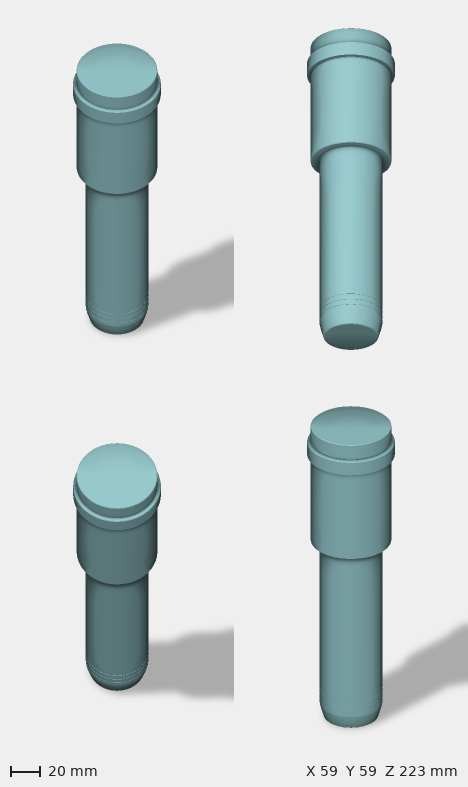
import cadquery as cq

total_height = 223.0
pin_diameter = 42.1
sleeve_diameter = 54.5
sleeve_bottom = 135.0
root_fillet = 0.7
edge_chamfer = 0.5

ring_diameter = 59.0
ring_height = 10.0
ring_bottom = 201.1
clearance_below = 0.7
clearance_above = 0.5
seat_depth = edge_chamfer

foot_diameter = 36.5
foot_height = 10.0
foot_bulge = 0.2

groove_count = 3
groove_pitch = 4.0
groove_width = 0.7
groove_depth = 0.2
lowest_groove_z = 13.4


def disc(diameter, bottom, height):
    """Upright cylinder on the part axis."""
    return cq.Workplane("XY").workplane(offset=bottom).circle(diameter / 2).extrude(height)


def groove_cutter(z_centre):
    """Cutter for one fine groove around the pin."""
    bottom = z_centre - groove_width / 2
    outside = disc(pin_diameter + 2 * groove_depth, bottom, groove_width)
    return outside.cut(disc(pin_diameter - 2 * groove_depth, bottom, groove_width))


def tapered_pin():
    """Pin with its curved foot, revolved from half of its outline."""
    pin_radius = pin_diameter / 2
    foot_radius = foot_diameter / 2
    bulge_point = ((pin_radius + foot_radius) / 2 + foot_bulge, foot_height / 2)
    pin = (
        cq.Workplane("XZ")
        .lineTo(foot_radius, 0)
        .threePointArc(bulge_point, (pin_radius, foot_height))
        .lineTo(pin_radius, sleeve_bottom)
        .lineTo(0, sleeve_bottom)
        .close()
        .revolve(360, (0, 0), (0, 1))
        .faces("<Z")
        .chamfer(edge_chamfer)
    )
    for index in range(groove_count):
        pin = pin.cut(groove_cutter(lowest_groove_z + index * groove_pitch))
    return pin


def sleeve_with_ring():
    """Chamfered sleeve below and above the ring, joined by the seat that carries the ring."""
    ring_top = ring_bottom + ring_height
    seat_bottom = ring_bottom - clearance_below
    seat_top = ring_top + clearance_above
    lower_sleeve = disc(sleeve_diameter, sleeve_bottom, seat_bottom - sleeve_bottom)
    upper_sleeve = disc(sleeve_diameter, seat_top, total_height - seat_top)
    seat = disc(sleeve_diameter - 2 * seat_depth, seat_bottom, seat_top - seat_bottom)
    ring = disc(ring_diameter, ring_bottom, ring_height).faces(">Z").chamfer(edge_chamfer)
    return (
        lower_sleeve.faces("<Z or >Z").chamfer(edge_chamfer)
        .union(upper_sleeve.faces("<Z or >Z").chamfer(edge_chamfer))
        .union(seat)
        .union(ring)
    )


def root():
    """Concave fillet collar between the pin and the underside of the sleeve."""
    pin_radius = pin_diameter / 2
    root_bottom = sleeve_bottom - root_fillet
    return (
        cq.Workplane("XZ")
        .moveTo(0, root_bottom)
        .lineTo(pin_radius, root_bottom)
        .radiusArc((pin_radius + root_fillet, sleeve_bottom), root_fillet)
        .lineTo(0, sleeve_bottom)
        .close()
        .revolve(360, (0, 0), (0, 1))
    )


result = tapered_pin().union(root()).union(sleeve_with_ring())